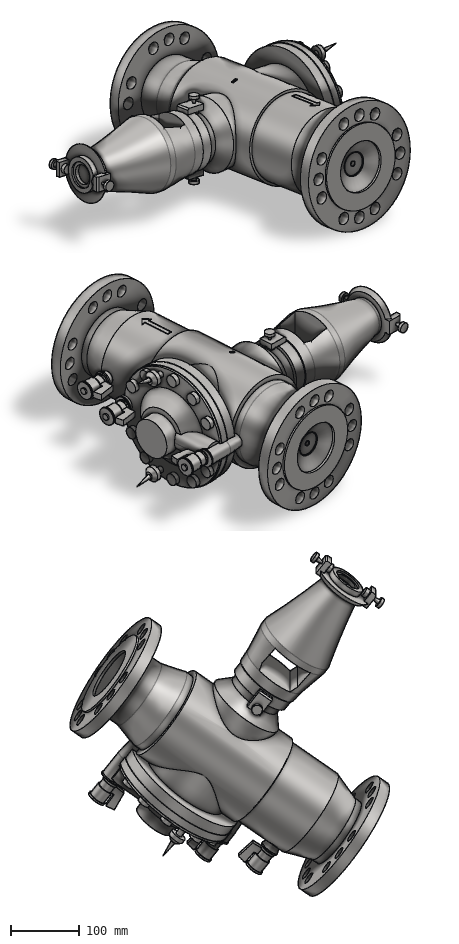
import cadquery as cq
import math


inlet_face_x = -191.5
outlet_face_x = 248.5
face_height = 3.0
face_diameter = 134.5
flange_diameter = 200.0
flange_thickness = 18.0
flange_bolt_circle = 160.0
flange_hole_diameter = 19.0
flange_hole_steps = 16
skipped_hole_interval = 4
first_skipped_hole = 2
pipe_diameter = 110.0
inlet_cone_start_x = -137.0
inlet_cone_end_x = -99.0
inlet_collar_diameter = 131.5
body_half_length = 88.0
body_diameter = 148.5
outlet_barrel_diameter = 140.0
outlet_cone_start_x = 174.5
outlet_cone_end_x = 217.0

mouth_diameter = 80.0
mouth_straight = 4.0
mouth_floor_diameter = 38.0
mouth_depth = 15.0
mouth_step_diameter = 35.5
mouth_step_depth = 1.5
mouth_dimple_diameter = 8.0

cover_neck_diameter = 140.5
cover_base_y = 71.5
cover_joint_y = 88.0
cover_plate_y = 100.0
cover_top_y = 103.5
cover_lower_diameter = 193.0
cover_upper_diameter = 195.5
gasket_diameter = 193.5
dome_base_diameter = 127.0
dome_top_diameter = 82.5
dome_top_y = 126.0
cap_base_diameter = 64.5
cap_top_diameter = 62.5
cap_top_y = 148.0
cover_bolt_circle = 171.0
cover_bolt_angles = (28, 56, 94, 123, 151)
cover_bolt_diameter = 19.0
cover_bolt_height = 7.5
knob_angle = 75
knob_stem_diameter = 10.0
knob_head_diameter = 24.0
knob_head_y = 116.5
knob_rim_y = 123.5
knob_top_y = 129.0
knob_top_diameter = 12.0
wire_length = 26.5
wire_base_diameter = 7.0
wire_tip_diameter = 0.5
wire_tilt = 12

cock_ring_diameter = 24.0
cock_neck_diameter = 22.0
cock_body_diameter = 25.0
cock_rim_diameter = 28.0
cock_stud_diameter = 10.0
cock_ring_rise = 1.0
cock_neck_rise = 4.5
cock_body_rise = 16.0
cock_rim_rise = 34.5
cock_cap_rise = 37.5
cock_height = 40.0
lever_thickness = 10.0
lever_outline = [(9.5, 3.5), (26.0, 4.5), (30.5, 34.0), (17.0, 36.5), (16.0, 16.0), (9.5, 15.0)]
left_cock = {"x": -88.5, "seat_y": 132.0}
middle_cock = {"x": 89.5, "seat_y": 111.0}
right_cock = {"x": 161.0, "seat_y": 82.0}
boss_plate_diameter = 28.0
boss_diameter = 26.5
boss_foot_diameter = 22.0
boss_plate_thickness = 2.5
boss_foot_y = 63.5
left_boss_x = -93.0
middle_boss_x = 93.0
boss_taper_y = 91.5
bypass_diameter = 37.0
seat_foot_diameter = 18.5
seat_foot_y = 67.0

branch_root_y = -40.5
branch_collar_y = -79.5
branch_collar_diameter = 117.0
branch_root_diameter = 110.0
branch_throat_y = -99.0
throat_diameter = 82.5
clamp_ring_y = -112.5
clamp_ring_diameter = 93.5
funnel_top_y = -130.0
funnel_top_diameter = 97.5
funnel_shoulder_y = -148.0
funnel_shoulder_diameter = 100.5
funnel_band_y = -192.0
funnel_band_diameter = 117.0
funnel_waist_top_y = -203.0
funnel_middle_y = -255.0
funnel_middle_diameter = 86.0
funnel_end_y = -306.0
funnel_end_diameter = 61.0
window_half_width = 32.0
window_top_half_width = 28.0
window_shoulder = 12.0
outlet_plate_top_y = -310.5
outlet_plate_bottom_y = -317.5
outlet_plate_diameter = 90.0
outlet_plate_back_diameter = 79.5
spigot_end_y = -327.0
spigot_diameter = 55.0
spigot_bore_diameter = 40.0
spigot_bore_depth = 3.0
spigot_inner_diameter = 30.5
spigot_inner_depth = 9.0

lug_width = 23.5
lug_thickness = 9.5
lug_chamfer = 2.5
outlet_screw_reach = 16.0
ring_screw_reach = 13.0
screw_head_diameter = 16.0
screw_head_thickness = 5.0
screw_neck_diameter = 4.0
screw_root_diameter = 8.0
nut_diameter = 14.0
nut_height = 6.5
outlet_lug_inner_x = 36.5
outlet_screw_y = -326.0
outlet_lug_end_y = -336.0
ring_lug_inner_z = 46.0
ring_screw_y = -104.5
ring_lug_start_y = -96.0
ring_lug_end_y = -127.0

arrow_tail_x = 102.5
arrow_tip_x = 158.0
arrow_head_length = 9.5
arrow_width = 7.5
arrow_head_width = 20.0
mark_height = 1.0
tab_width = 3.5
tab_length = 8.0
tab_y = -25.0


def turned_x(stations):
    """Solid of revolution about X from (x, diameter) stations."""
    outline = [(stations[0][0], 0)]
    outline += [(x, diameter / 2) for x, diameter in stations]
    outline += [(stations[-1][0], 0)]
    return cq.Workplane("XY").polyline(outline).close().revolve(360, (0, 0, 0), (1, 0, 0))


def turned_y(stations, x=0):
    """Solid of revolution about a line parallel to Y from (y, diameter) stations."""
    outline = [(0, stations[0][0])]
    outline += [(diameter / 2, y) for y, diameter in stations]
    outline += [(0, stations[-1][0])]
    solid = cq.Workplane("XY").polyline(outline).close().revolve(360, (0, 0, 0), (0, 1, 0))
    return solid.translate((x, 0, 0))


def box(x_range, y_range, z_range):
    spans = [high - low for low, high in (x_range, y_range, z_range)]
    corner = (x_range[0], y_range[0], z_range[0])
    return cq.Workplane("XY").box(*spans, centered=False).translate(corner)


def flange(face_x, inward):
    """Drilled flange with a raised face; inward is +1 or -1 along X."""
    front_x = face_x + inward * face_height
    back_x = front_x + inward * flange_thickness
    disc = turned_x([(face_x, face_diameter), (front_x, face_diameter),
                     (front_x, flange_diameter), (back_x, flange_diameter)])
    steps = [step for step in range(flange_hole_steps) if step % skipped_hole_interval != first_skipped_hole]
    radius = flange_bolt_circle / 2
    angles = [step * 360 / flange_hole_steps for step in steps]
    spots = [(radius * math.cos(math.radians(a)), radius * math.sin(math.radians(a))) for a in angles]
    holes = (cq.Workplane("YZ", origin=(front_x, 0, 0)).pushPoints(spots)
             .circle(flange_hole_diameter / 2).extrude(inward * flange_thickness))
    return disc.cut(holes)


def mouth(face_x, inward):
    """Funnel-shaped recess in the end of the run pipe."""
    floor_x = face_x + inward * mouth_depth
    step_x = floor_x + inward * mouth_step_depth
    dimple_x = step_x + inward * mouth_step_depth
    return turned_x([(face_x, mouth_diameter), (face_x + inward * mouth_straight, mouth_diameter),
                     (floor_x, mouth_floor_diameter), (floor_x, mouth_step_diameter),
                     (step_x, mouth_step_diameter), (step_x, mouth_dimple_diameter),
                     (dimple_x, mouth_dimple_diameter)])


def run_pipe():
    barrel = turned_x([
        (inlet_face_x + face_height, pipe_diameter), (inlet_cone_start_x, pipe_diameter),
        (inlet_cone_end_x, inlet_collar_diameter), (-body_half_length, inlet_collar_diameter),
        (-body_half_length, body_diameter), (body_half_length, body_diameter),
        (body_half_length, outlet_barrel_diameter), (outlet_cone_start_x, outlet_barrel_diameter),
        (outlet_cone_end_x, pipe_diameter), (outlet_face_x - face_height, pipe_diameter)])
    for face_x, inward in ((inlet_face_x, 1), (outlet_face_x, -1)):
        barrel = barrel.union(flange(face_x, inward)).cut(mouth(face_x, inward))
    return barrel


def cover():
    plates = turned_y([
        (0, cover_neck_diameter), (cover_base_y, cover_neck_diameter),
        (cover_base_y, cover_lower_diameter), (cover_joint_y, cover_lower_diameter),
        (cover_joint_y, cover_upper_diameter), (cover_plate_y, cover_upper_diameter),
        (cover_plate_y, gasket_diameter), (cover_top_y, gasket_diameter),
        (cover_top_y, dome_base_diameter), (dome_top_y, dome_top_diameter),
        (dome_top_y, cap_base_diameter), (cap_top_y, cap_top_diameter)])
    radius = cover_bolt_circle / 2
    spots = []
    for angle in cover_bolt_angles:
        x = radius * math.cos(math.radians(angle))
        z = radius * math.sin(math.radians(angle))
        spots += [(x, z), (x, -z)]
    bolts = (cq.Workplane("XZ", origin=(0, cover_plate_y, 0)).pushPoints(spots)
             .circle(cover_bolt_diameter / 2).extrude(-(cover_top_y - cover_plate_y + cover_bolt_height)))
    return plates.union(bolts)


def sealed_knob(side):
    """Mushroom knob with a tapering seal wire leaning outward; side is +1 or -1 along Z."""
    radius = cover_bolt_circle / 2
    x = radius * math.cos(math.radians(knob_angle))
    z = side * radius * math.sin(math.radians(knob_angle))
    knob = turned_y([
        (cover_plate_y, knob_stem_diameter), (knob_head_y, knob_stem_diameter),
        (knob_head_y, knob_head_diameter), (knob_rim_y, knob_head_diameter),
        (knob_top_y, knob_top_diameter)])
    wire = turned_y([(knob_rim_y, wire_base_diameter), (knob_top_y, wire_base_diameter),
                     (knob_top_y + wire_length, wire_tip_diameter)])
    wire = wire.rotate((0, knob_rim_y, 0), (1, knob_rim_y, 0), side * wire_tilt)
    return knob.union(wire).translate((x, 0, z))


def test_cock(x, seat_y, handle_side):
    """Stepped valve on a seat at seat_y, with its lever on the handle_side of X."""
    valve = turned_y([
        (0, cock_neck_diameter), (cock_ring_rise, cock_neck_diameter),
        (cock_ring_rise, cock_ring_diameter), (cock_neck_rise, cock_ring_diameter),
        (cock_neck_rise, cock_neck_diameter), (cock_body_rise, cock_neck_diameter),
        (cock_body_rise, cock_body_diameter), (cock_rim_rise, cock_body_diameter),
        (cock_rim_rise, cock_rim_diameter), (cock_cap_rise, cock_rim_diameter),
        (cock_cap_rise, cock_stud_diameter), (cock_height, cock_stud_diameter)])
    return valve.union(lever(handle_side)).translate((x, seat_y, 0))


def lever(handle_side):
    """Flat crank lever of a cock, with the seat at Y = 0."""
    points = [(handle_side * reach, rise) for reach, rise in lever_outline]
    return cq.Workplane("XY").polyline(points).close().extrude(lever_thickness / 2, both=True)


def cock_boss(x, seat_y):
    """Tapering column that carries a test cock beside the cover."""
    return turned_y([(boss_foot_y, boss_foot_diameter), (boss_taper_y, boss_diameter),
                     (seat_y - boss_plate_thickness, boss_diameter),
                     (seat_y - boss_plate_thickness, boss_plate_diameter), (seat_y, boss_plate_diameter)], x)


def test_cocks():
    left = test_cock(left_cock["x"], left_cock["seat_y"], 1)
    left = left.union(cock_boss(left_boss_x, left_cock["seat_y"]))
    bypass_y = left_cock["seat_y"] - bypass_diameter / 2
    bypass = turned_x([(left_boss_x, bypass_diameter), (0, bypass_diameter)]).translate((0, bypass_y, 0))
    middle = test_cock(middle_cock["x"], middle_cock["seat_y"], -1)
    middle = middle.union(cock_boss(middle_boss_x, middle_cock["seat_y"]))
    seat_y = right_cock["seat_y"]
    right = test_cock(right_cock["x"], seat_y, -1)
    seat = turned_y([(seat_foot_y, seat_foot_diameter), (seat_y - boss_plate_thickness, boss_plate_diameter),
                     (seat_y, boss_plate_diameter)], right_cock["x"])
    return left.union(bypass).union(middle).union(right).union(seat)


def drain_branch():
    neck = turned_y([
        (branch_root_y, branch_root_diameter), (branch_collar_y, branch_collar_diameter),
        (branch_throat_y, throat_diameter), (clamp_ring_y, throat_diameter),
        (clamp_ring_y, clamp_ring_diameter), (funnel_top_y, clamp_ring_diameter),
        (funnel_top_y, funnel_top_diameter), (funnel_shoulder_y, funnel_shoulder_diameter),
        (funnel_band_y, funnel_band_diameter), (funnel_waist_top_y, funnel_band_diameter)])
    funnel = (cq.Workplane("XY").moveTo(0, funnel_waist_top_y)
              .lineTo(funnel_band_diameter / 2, funnel_waist_top_y)
              .threePointArc((funnel_middle_diameter / 2, funnel_middle_y),
                             (funnel_end_diameter / 2, funnel_end_y))
              .lineTo(0, funnel_end_y).close().revolve(360, (0, 0, 0), (0, 1, 0)))
    outlet = turned_y([
        (funnel_end_y, funnel_end_diameter), (outlet_plate_top_y, funnel_end_diameter),
        (outlet_plate_top_y, outlet_plate_back_diameter), (outlet_plate_bottom_y, outlet_plate_diameter),
        (outlet_plate_bottom_y, spigot_diameter), (spigot_end_y, spigot_diameter)])
    branch = neck.union(funnel).union(outlet)
    window_side = [(window_top_half_width, funnel_shoulder_y),
                   (window_half_width, funnel_shoulder_y - window_shoulder),
                   (window_half_width, funnel_band_y)]
    window_outline = window_side + [(-x, y) for x, y in reversed(window_side)]
    window = (cq.Workplane("XY").polyline(window_outline).close()
              .extrude(funnel_band_diameter, both=True))
    bore_y = spigot_end_y + spigot_bore_depth
    bore = turned_y([
        (spigot_end_y, spigot_bore_diameter), (bore_y, spigot_bore_diameter),
        (bore_y, spigot_inner_diameter), (spigot_end_y + spigot_inner_depth, spigot_inner_diameter)])
    return branch.cut(window).cut(bore)


def latch(inner_x, start_y, end_y, screw_y, screw_reach):
    """Lug on the +X side of the branch with a thumb screw that stands out by screw_reach."""
    outer_x = inner_x + lug_thickness
    head_x = outer_x + screw_reach - screw_head_thickness
    lug = box((inner_x, outer_x), (end_y, start_y), (-lug_width / 2, lug_width / 2))
    lug = lug.edges(">X and <Y").chamfer(lug_chamfer)
    screw = turned_x([
        (inner_x - nut_height, nut_diameter), (inner_x, nut_diameter),
        (inner_x, screw_neck_diameter), (outer_x, screw_neck_diameter), (head_x, screw_root_diameter),
        (head_x, screw_head_diameter), (head_x + screw_head_thickness, screw_head_diameter)])
    return lug.union(screw.translate((0, screw_y, 0)))


def latches():
    outlet = latch(outlet_lug_inner_x, outlet_plate_top_y, outlet_lug_end_y,
                   outlet_screw_y, outlet_screw_reach)
    ring = latch(ring_lug_inner_z, ring_lug_start_y, ring_lug_end_y, ring_screw_y, ring_screw_reach)
    ring = ring.rotate((0, 0, 0), (0, 1, 0), -90)
    return outlet.union(outlet.mirror("YZ")).union(ring).union(ring.mirror("XY"))


def mark_skin(diameter):
    """Cylinder about the run that bounds the raised marks on a barrel of this diameter."""
    skin_diameter = diameter + 2 * mark_height
    return turned_x([(-body_half_length, skin_diameter), (outlet_cone_start_x, skin_diameter)])


def top_marks():
    head_x = arrow_tip_x - arrow_head_length
    upper = [(arrow_tail_x, arrow_width / 2), (head_x, arrow_width / 2), (head_x, arrow_head_width / 2)]
    lower = [(x, -y) for x, y in reversed(upper)]
    arrow = (cq.Workplane("XY").polyline(upper + [(arrow_tip_x, 0)] + lower).close()
             .extrude(body_diameter).intersect(mark_skin(outlet_barrel_diameter)))
    tab = box((-tab_width / 2, tab_width / 2), (tab_y - tab_length / 2, tab_y + tab_length / 2),
              (0, body_diameter)).intersect(mark_skin(body_diameter))
    return arrow.union(tab)


result = run_pipe().union(cover())
for knob_side in (1, -1):
    result = result.union(sealed_knob(knob_side))
result = result.union(test_cocks()).union(drain_branch()).union(latches()).union(top_marks())